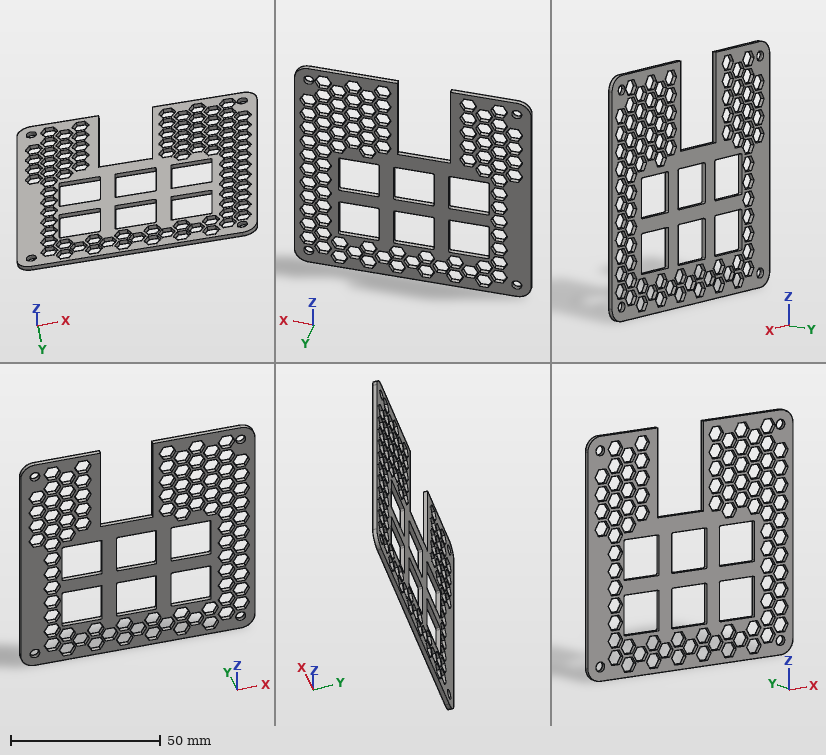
import cadquery as cq
import math

plate_width = 81.9
plate_height = 84.3
plate_thickness = 1.5
corner_radius = 5.0

mount_hole_diameter = 3.4

slot_width = 18.3
slot_depth = 30.9
slot_center_x = -3.9

window_size = 14.0
window_pitch = 19.05
window_corner_radius = 0.5
window_center_x = -0.4
window_top_row_z = -1.7

vent_sides = 6
vent_across_flats = 5.0
vent_across_corners = vent_across_flats / math.cos(math.pi / vent_sides)
right_column_span = 60.0
right_column_count = 11
vent_pitch = right_column_span / (right_column_count - 1)

column_top_z = 37.2
staggered_top_z = column_top_z - vent_pitch / 2
below_hole_top_z = column_top_z - 1.5 * vent_pitch
inner_left_top_z = 37.6
vent_columns = [
    (-35.15, below_hole_top_z, 4),
    (-29.9, column_top_z, 12),
    (-24.7, staggered_top_z, 5),
    (-19.2, inner_left_top_z, 5),
    (10.4, column_top_z, 5),
    (15.6, staggered_top_z, 5),
    (20.65, column_top_z, 5),
    (25.9, staggered_top_z, 5),
    (31.0, column_top_z, 13),
    (36.2, below_hole_top_z, right_column_count),
]

row_vent_count = 6
row_span = 50.0
row_pitch = row_span / (row_vent_count - 1)
vent_rows = [
    (-24.7, -31.7),
    (-29.8, -34.8),
    (-24.6, -37.85),
]


def face_sketch():
    """XZ workplane in the middle of the plate thickness."""
    return cq.Workplane("XZ")


def through_cutter(outline):
    """Prism that passes through the whole plate."""
    return outline.extrude(plate_thickness, both=True)


def make_plate():
    plate = face_sketch().rect(plate_width, plate_height)
    plate = plate.extrude(plate_thickness / 2, both=True)
    return plate.edges("|Y").fillet(corner_radius)


def make_mount_holes():
    spacing_x = plate_width - 2 * corner_radius
    spacing_z = plate_height - 2 * corner_radius
    centers = face_sketch().rect(spacing_x, spacing_z, forConstruction=True).vertices()
    return through_cutter(centers.circle(mount_hole_diameter / 2))


def make_slot():
    outline = face_sketch().center(slot_center_x, plate_height / 2)
    return through_cutter(outline.rect(slot_width, 2 * slot_depth))


def make_windows():
    centers = [
        (window_center_x + column * window_pitch, window_top_row_z - row * window_pitch)
        for column in (-1, 0, 1)
        for row in (0, 1)
    ]
    windows = through_cutter(face_sketch().pushPoints(centers).rect(window_size, window_size))
    return windows.edges("|Y").fillet(window_corner_radius)


def make_vents():
    column_centers = [
        (x, top_z - i * vent_pitch)
        for x, top_z, count in vent_columns
        for i in range(count)
    ]
    row_centers = [
        (left_x + i * row_pitch, z)
        for left_x, z in vent_rows
        for i in range(row_vent_count)
    ]
    centers = face_sketch().pushPoints(column_centers + row_centers)
    return through_cutter(centers.polygon(vent_sides, vent_across_corners))


result = (
    make_plate()
    .cut(make_mount_holes())
    .cut(make_slot())
    .cut(make_windows())
    .cut(make_vents())
)